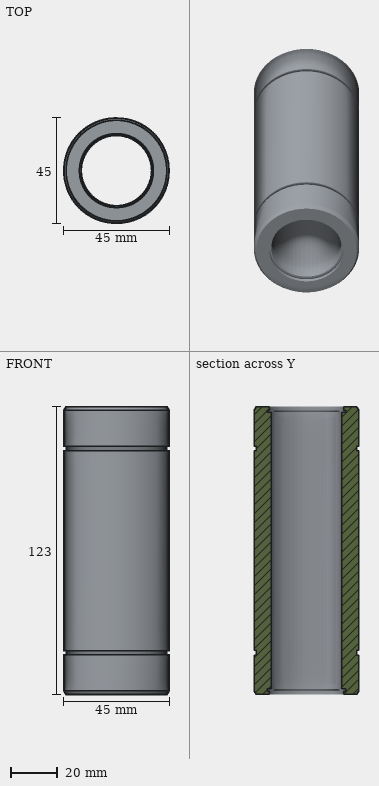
import cadquery as cq

outer_diameter = 45.0
length = 123.0
bore_diameter = 30.0

bevel_radial = 1.0
bevel_axial = 1.6

groove_diameter = 43.0
groove_width = 1.85
groove_outer_span = 89.0

lip_diameter = 31.6
lip_length = 1.6
undercut_diameter = 33.2
undercut_width = 0.8

half_length = length / 2
outer_radius = outer_diameter / 2


def make_sleeve():
    """Plain bored tube, centred on the origin along Z, with bevelled ends."""
    end_radius = outer_radius - bevel_radial
    shoulder_z = half_length - bevel_axial
    bore_radius = bore_diameter / 2
    return (
        cq.Workplane("XZ")
        .moveTo(bore_radius, -half_length)
        .lineTo(end_radius, -half_length)
        .lineTo(outer_radius, -shoulder_z)
        .lineTo(outer_radius, shoulder_z)
        .lineTo(end_radius, half_length)
        .lineTo(bore_radius, half_length)
        .close()
        .revolve(360, (0, 0, 0), (0, 1, 0))
    )


def make_groove_cutter(bottom_z):
    """Ring that cuts one outer groove upward from bottom_z."""
    return (
        cq.Workplane("XY", origin=(0, 0, bottom_z))
        .circle(outer_diameter)
        .circle(groove_diameter / 2)
        .extrude(groove_width)
    )


def make_disc(diameter, bottom_z, height):
    """Solid disc on the Z axis, rising from bottom_z."""
    return cq.Workplane("XY", origin=(0, 0, bottom_z)).circle(diameter / 2).extrude(height)


def make_upper_seat_cutter():
    """Stepped plug that opens the upper end of the bore to the seal seat."""
    lip_z = half_length - lip_length
    undercut_z = lip_z - undercut_width
    lip = make_disc(lip_diameter, lip_z, lip_length)
    undercut = make_disc(undercut_diameter, undercut_z, undercut_width)
    return lip.union(undercut)


result = make_sleeve()

upper_groove_z = groove_outer_span / 2 - groove_width
lower_groove_z = -groove_outer_span / 2
for groove_z in (lower_groove_z, upper_groove_z):
    result = result.cut(make_groove_cutter(groove_z))

upper_seat_cutter = make_upper_seat_cutter()
lower_seat_cutter = upper_seat_cutter.mirror("XY")
result = result.cut(upper_seat_cutter).cut(lower_seat_cutter)